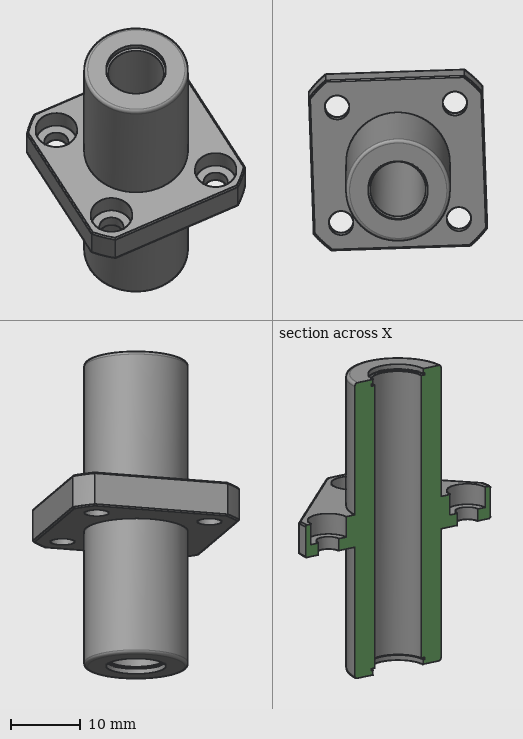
import cadquery as cq

body_length = 45
body_diameter = 15.0
body_edge_round = 0.5
bore_diameter = 8.0
mouth_diameter = 8.6
mouth_depth = 1.0
undercut_diameter = 9.2
lip_thickness = 0.75

flange_side = 25.0
flange_corner_span = 32.0
flange_thickness = 5.0
flange_edge_chamfer = 0.22

bolt_circle_diameter = 24.0
bolt_hole_diameter = 3.5
counterbore_diameter = 6.0
counterbore_depth = 3.1
bolt_count = 4


def make_body():
    body = cq.Workplane("XY").circle(body_diameter / 2).extrude(body_length / 2, both=True)
    return body.faces("<Z or >Z").edges().fillet(body_edge_round)


def make_flange():
    """Square plate turned to point along X and Y, with its four corners rounded about the axis."""
    corner_blank = cq.Workplane("XY").circle(flange_corner_span / 2).extrude(flange_thickness / 2, both=True)
    plate = cq.Workplane("XY").box(flange_side, flange_side, flange_thickness)
    flange = plate.rotate((0, 0, 0), (0, 0, 1), 45).intersect(corner_blank)
    return flange.faces("<Z or >Z").edges().chamfer(flange_edge_chamfer)


def drill_bolt_holes(flange):
    """Screw holes at the flange points, counterbored from the top."""
    return (
        flange.faces(">Z").workplane(origin=(0, 0, 0))
        .polarArray(bolt_circle_diameter / 2, 0, 360, bolt_count)
        .cboreHole(bolt_hole_diameter, counterbore_diameter, counterbore_depth)
    )


def make_bore():
    """Through bore with a wider mouth at each end, undercut behind a thin lip."""
    bore = cq.Workplane("XY").circle(bore_diameter / 2).extrude(body_length / 2, both=True)
    mouth = (
        cq.Workplane("XY").workplane(offset=body_length / 2)
        .circle(mouth_diameter / 2).extrude(-mouth_depth)
    )
    undercut = (
        cq.Workplane("XY").workplane(offset=body_length / 2 - mouth_depth)
        .circle(undercut_diameter / 2).extrude(mouth_depth - lip_thickness)
    )
    top_mouth = mouth.union(undercut)
    return bore.union(top_mouth).union(top_mouth.mirror("XY"))


result = make_body().union(drill_bolt_holes(make_flange())).cut(make_bore())